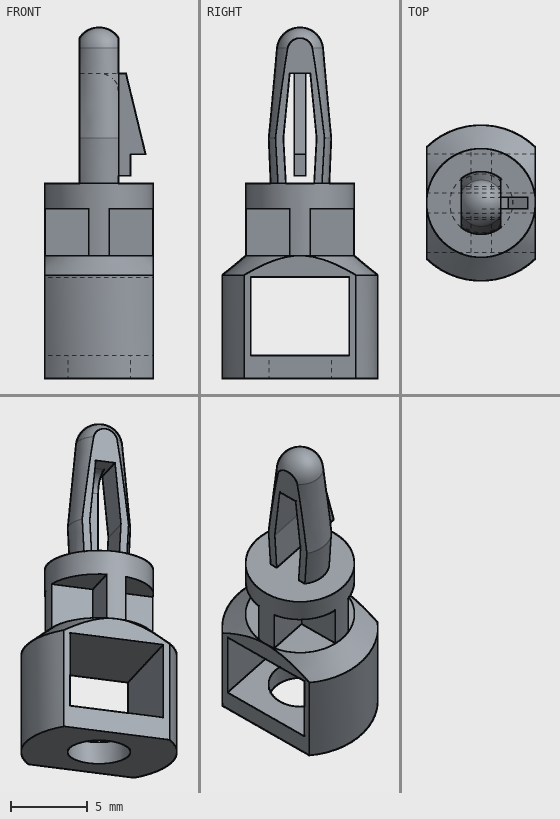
import cadquery as cq

base_diameter = 10.17
base_width = 7.1
shoulder_start = 6.75
shoulder_top = 8.02
window_width = 6.41
floor_thickness = 1.5
window_top = 6.62
floor_hole_diameter = 4.1

flange_diameter = base_width
flange_bottom = 11.08
flange_top = 12.73
rib_thickness = 1.3

total_height = 22.9
pin_thickness = 2.56
pin_root_radius = 1.92
pin_bulge_radius = 2.05
pin_bulge_height = 15.69
dome_base_radius = 1.5
dome_base_height = 21.57
slot_roof = 19.9
slot_roof_half_width = 0.66
slot_bulge_half_width = 1.08
slot_root_half_width = 0.92

latch_width = 0.78
latch_bottom = 13.21
latch_step = 14.6
latch_inner_x = pin_thickness / 2
latch_stub_x = latch_inner_x + latch_width
latch_tip_x = 3.05
latch_top_x = 1.76
latch_root_radius = 1.24


def make_base():
    """Flatted block with its conical shoulder, window and floor hole."""
    base_radius = base_diameter / 2
    body = (
        cq.Workplane("XZ")
        .moveTo(0, 0)
        .lineTo(base_radius, 0)
        .lineTo(base_radius, shoulder_start)
        .lineTo(flange_diameter / 2, shoulder_top)
        .lineTo(0, shoulder_top)
        .close()
        .revolve(360, (0, 0, 0), (0, 1, 0))
    )
    flats = cq.Workplane("XY").rect(base_width, base_diameter).extrude(shoulder_top)
    window = (
        cq.Workplane("XY", origin=(0, 0, floor_thickness))
        .rect(base_width, window_width)
        .extrude(window_top - floor_thickness)
    )
    floor_hole = cq.Workplane("XY").circle(floor_hole_diameter / 2).extrude(floor_thickness)
    return body.intersect(flats).cut(window).cut(floor_hole)


def make_neck():
    """Crossed ribs trimmed to the flange diameter, with the flange on top."""
    column = (
        cq.Workplane("XY", origin=(0, 0, shoulder_top))
        .circle(flange_diameter / 2)
        .extrude(flange_top - shoulder_top)
    )
    flange = (
        cq.Workplane("XY", origin=(0, 0, flange_bottom))
        .circle(flange_diameter / 2)
        .extrude(flange_top - flange_bottom)
    )
    rib_height = flange_bottom - shoulder_top
    rib_plane = cq.Workplane("XY", origin=(0, 0, shoulder_top))
    rib_x = rib_plane.rect(flange_diameter, rib_thickness).extrude(rib_height)
    rib_y = rib_plane.rect(rib_thickness, flange_diameter).extrude(rib_height)
    return rib_x.union(rib_y).intersect(column).union(flange)


def make_pin():
    """Domed, bulging pin with flat X sides and a slot that follows the bulge."""
    dome_rise = total_height - dome_base_height
    dome_radius = (dome_base_radius**2 + dome_rise**2) / (2 * dome_rise)
    pin = (
        cq.Workplane("XZ")
        .moveTo(0, flange_top)
        .lineTo(pin_root_radius, flange_top)
        .lineTo(pin_bulge_radius, pin_bulge_height)
        .lineTo(dome_base_radius, dome_base_height)
        .radiusArc((0, total_height), -dome_radius)
        .close()
        .revolve(360, (0, 0, 0), (0, 1, 0))
    )
    flats = (
        cq.Workplane("XY", origin=(0, 0, flange_top))
        .rect(pin_thickness, 2 * pin_bulge_radius)
        .extrude(total_height - flange_top)
    )
    slot = (
        cq.Workplane("YZ")
        .moveTo(-slot_root_half_width, flange_top)
        .lineTo(slot_root_half_width, flange_top)
        .lineTo(slot_bulge_half_width, pin_bulge_height)
        .lineTo(slot_roof_half_width, slot_roof)
        .lineTo(-slot_roof_half_width, slot_roof)
        .lineTo(-slot_bulge_half_width, pin_bulge_height)
        .close()
        .extrude(pin_thickness / 2, both=True)
    )
    return pin.intersect(flats).cut(slot)


def make_latch():
    """Barbed finger joined to the slot roof by a concave round."""
    return (
        cq.Workplane("XZ")
        .moveTo(latch_inner_x, latch_bottom)
        .lineTo(latch_stub_x, latch_bottom)
        .lineTo(latch_stub_x, latch_step)
        .lineTo(latch_tip_x, latch_step)
        .lineTo(latch_top_x, slot_roof)
        .lineTo(latch_inner_x - latch_root_radius, slot_roof)
        .radiusArc((latch_inner_x, slot_roof - latch_root_radius), latch_root_radius)
        .close()
        .extrude(latch_width / 2, both=True)
    )


result = make_base().union(make_neck()).union(make_pin()).union(make_latch())